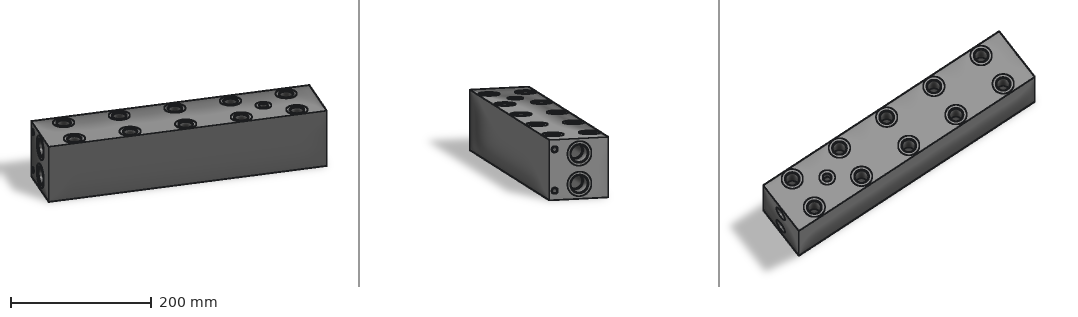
import cadquery as cq
import math

width = 87.5
length = 412.8
height = 87.5
front_y = -length / 2
top_z = height / 2

spotface_depth = 0.5
drill_point_angle = 118
port_axis_x = 1.0

gallery_pitch = 44.0
gallery_diameter = 21.5
gallery_spotface_diameter = 35.5
gallery_mouth_diameter = 27.2
gallery_port_diameter = 24.8
gallery_port_depth = 24.8

work_row_count = 5
work_row_pitch = 82.5
work_first_row_y = -163.5
work_column_pitch = 54.0
work_spotface_diameter = 30.5
work_mouth_diameter = 21.5
work_bore_diameter = 19.0
work_bore_depth = 29

gauge_y = 125.0
gauge_spotface_diameter = 22.5
gauge_mouth_diameter = 13.2
gauge_bore_diameter = 12.0
gauge_bore_depth = top_z - gallery_pitch / 2

mount_x = -36.0
mount_pitch = 60.0
mount_mouth_diameter = 9.5
mount_bore_diameter = 7.5
mount_bore_depth = 20.5


def chamfered_bore(mouth_diameter, bore_diameter, bore_depth, pointed):
    """Cutter going down from the origin: 45 degree mouth, straight bore, flat or drill-point end."""
    mouth_radius = mouth_diameter / 2
    bore_radius = bore_diameter / 2
    tip_depth = bore_depth
    if pointed:
        tip_depth += bore_radius / math.tan(math.radians(drill_point_angle / 2))
    return (
        cq.Workplane("XZ")
        .lineTo(mouth_radius, 0)
        .lineTo(bore_radius, bore_radius - mouth_radius)
        .lineTo(bore_radius, -bore_depth)
        .lineTo(0, -tip_depth)
        .close()
        .revolve(360, (0, 0, 0), (0, 1, 0))
    )


def spotfaced_port(spotface_diameter, mouth_diameter, bore_diameter, bore_depth, pointed):
    """Cutter for a chamfered bore that starts at the floor of a shallow spotface."""
    spotface = cq.Workplane("XY").circle(spotface_diameter / 2).extrude(-spotface_depth)
    bore = chamfered_bore(mouth_diameter, bore_diameter, bore_depth - spotface_depth, pointed)
    return spotface.union(bore.translate((0, 0, -spotface_depth)))


def on_top(cutter, x, y):
    return cutter.translate((x, y, top_z))


def on_front(cutter, x, z):
    return cutter.rotate((0, 0, 0), (1, 0, 0), 90).translate((x, front_y, z))


result = cq.Workplane("XY").box(width, length, height)

work_port = spotfaced_port(
    work_spotface_diameter, work_mouth_diameter, work_bore_diameter, work_bore_depth, pointed=True
)
for row in range(work_row_count):
    row_y = work_first_row_y + row * work_row_pitch
    for side in (-1, 1):
        column_x = port_axis_x + side * work_column_pitch / 2
        result = result.cut(on_top(work_port, column_x, row_y))

gallery = cq.Workplane("XZ").circle(gallery_diameter / 2).extrude(length / 2, both=True)
gallery_port = spotfaced_port(
    gallery_spotface_diameter, gallery_mouth_diameter, gallery_port_diameter, gallery_port_depth,
    pointed=False
)
for side in (-1, 1):
    gallery_z = side * gallery_pitch / 2
    result = result.cut(gallery.translate((port_axis_x, 0, gallery_z)))
    result = result.cut(on_front(gallery_port, port_axis_x, gallery_z))

gauge_port = spotfaced_port(
    gauge_spotface_diameter, gauge_mouth_diameter, gauge_bore_diameter, gauge_bore_depth, pointed=False
)
result = result.cut(on_top(gauge_port, port_axis_x, gauge_y))

mount_hole = chamfered_bore(mount_mouth_diameter, mount_bore_diameter, mount_bore_depth, pointed=True)
for side in (-1, 1):
    result = result.cut(on_front(mount_hole, mount_x, side * mount_pitch / 2))